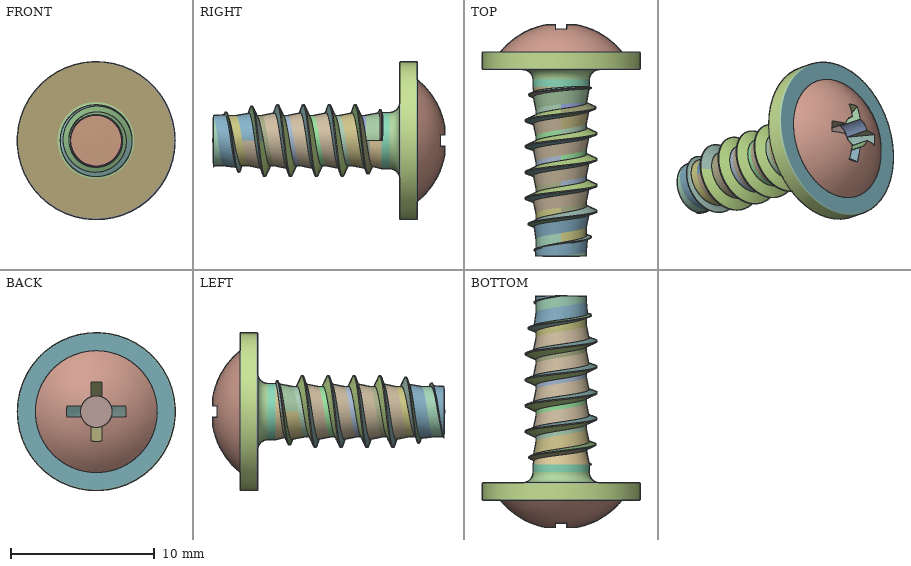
import cadquery as cq
import math


washer_radius = 5.5
washer_thickness = 1.24
washer_edge_fillet = 0.08
dome_radius = 4.24
head_height = 3.25

recess_core_radius = 1.1
recess_wing_radius = 2.08
recess_wing_width = 0.76
recess_mouth_drop = 0.4
recess_floor_drop = 2.1

shank_length = 12.96
neck_radius = 1.97
neck_fillet = 0.7
neck_length = 1.23
neck_taper_length = 0.85
core_radius = 1.76
tip_cone_radius = 1.66
tip_cone_height = 0.04

pitch = 1.8
crest_radius = 2.5
crest_half_width = 0.04
head_flank_foot = 0.38
tip_flank_foot = 0.23
root_radius = 1.94
root_taper_foot = 1.09
foot_sink = 0.02

thread_start_depth = 0.84
start_shift = 0.43
start_shift_turns = 0.5
start_height = 0.45
full_height_from = 1.25
full_height_until = 5.0
fade_turns = 1.85
least_height = 0.1
thread_turns = 7.25
points_per_turn = 24

blank_length = thread_start_depth + pitch * (thread_turns + 1)

profile_plane = cq.Plane(origin=(0, 0, 0), xDir=(0, 0, 1), normal=(-1, 0, 0))


def rise_share(turn):
    """Share of the full crest height reached while the thread grows out of the neck."""
    return min(1, start_height + (1 - start_height) * turn / full_height_from)


def fade_share(turn):
    """Share of the full section left while the thread fades out at the tip."""
    return max(least_height, min(1, 1 - (turn - full_height_until) / fade_turns))


def crest_depth(turn):
    """Depth of the crest: a steady lead, eased in under the neck."""
    squeeze = max(0, 1 - turn / start_shift_turns)
    return thread_start_depth + pitch * turn + start_shift * squeeze ** 3


def thread_profile(turn):
    """(axial offset towards the tip, radius) corners of the thread section."""
    crest_share = rise_share(turn) * fade_share(turn)
    top_radius = core_radius + crest_share * (crest_radius - core_radius)
    shoulder_height = fade_share(turn) * (root_radius - core_radius)
    root_slope = (root_taper_foot - tip_flank_foot) / shoulder_height
    sunk_radius = core_radius - foot_sink
    return [
        (-head_flank_foot * crest_share, sunk_radius),
        (-crest_half_width * crest_share, top_radius),
        (crest_half_width * crest_share, top_radius),
        (tip_flank_foot * crest_share, core_radius + shoulder_height),
        (root_taper_foot + foot_sink * root_slope, sunk_radius),
    ]


def thread_section(turn):
    """Corners of the thread section in space, after the given number of turns from +X."""
    angle = 2 * math.pi * turn
    return [
        cq.Vector(radius * math.cos(angle), -crest_depth(turn) - offset, radius * math.sin(angle))
        for offset, radius in thread_profile(turn)
    ]


def make_thread(first_turn, last_turn):
    """Skin one stretch of the thread with ruled strips between the helical paths of its corners."""
    turns = last_turn - first_turn
    steps = round(turns * points_per_turn)
    sections = [thread_section(first_turn + turns * step / steps) for step in range(steps + 1)]
    paths = [cq.Edge.makeSpline(list(points)) for points in zip(*sections)]
    next_paths = paths[1:] + paths[:1]
    faces = [cq.Face.makeRuledSurface(path, after) for path, after in zip(paths, next_paths)]
    for end in (sections[0], sections[-1]):
        faces.append(cq.Face.makeFromWires(cq.Wire.makePolygon(end, close=True)))
    return cq.Workplane(obj=cq.Solid.makeSolid(cq.Shell.makeShell(faces)))


def make_head():
    washer = cq.Workplane("XZ").circle(washer_radius).extrude(-washer_thickness)
    washer = washer.edges().fillet(washer_edge_fillet)
    dome_height = head_height - washer_thickness
    sphere_radius = (dome_radius ** 2 + dome_height ** 2) / (2 * dome_height)
    sphere_centre = head_height - sphere_radius
    mid_radius = dome_radius / 2
    mid_height = sphere_centre + math.sqrt(sphere_radius ** 2 - mid_radius ** 2)
    dome = (
        cq.Workplane(profile_plane)
        .moveTo(0, washer_thickness / 2)
        .lineTo(dome_radius, washer_thickness / 2)
        .lineTo(dome_radius, washer_thickness)
        .threePointArc((mid_radius, mid_height), (0, head_height))
        .close()
        .revolve(360, (0, 0), (0, 1))
    )
    return washer.union(dome)


def make_recess():
    """Round core with four wings whose ends taper inwards."""
    floor = head_height - recess_floor_drop
    mouth = head_height - recess_mouth_drop
    wing_envelope = (
        cq.Workplane(profile_plane)
        .polyline([
            (0, floor),
            (recess_core_radius, floor),
            (recess_wing_radius, mouth),
            (recess_wing_radius, head_height),
            (0, head_height),
        ])
        .close()
        .revolve(360, (0, 0), (0, 1))
    )
    floor_plane = cq.Workplane("XZ", origin=(0, floor, 0))
    span = 2 * recess_wing_radius
    cross = floor_plane.rect(span, recess_wing_width).extrude(-recess_floor_drop)
    cross = cross.union(floor_plane.rect(recess_wing_width, span).extrude(-recess_floor_drop))
    core = floor_plane.circle(recess_core_radius).extrude(-recess_floor_drop)
    return cross.intersect(wing_envelope).union(core)


def make_blank():
    """Unthreaded shank, left longer than the thread so that both are trimmed together."""
    fillet_middle = neck_fillet * (1 - math.sqrt(0.5))
    return (
        cq.Workplane(profile_plane)
        .moveTo(0, washer_thickness / 2)
        .lineTo(neck_radius + neck_fillet, washer_thickness / 2)
        .lineTo(neck_radius + neck_fillet, 0)
        .threePointArc((neck_radius + fillet_middle, -fillet_middle), (neck_radius, -neck_fillet))
        .lineTo(neck_radius, -neck_length)
        .lineTo(core_radius, -neck_length - neck_taper_length)
        .lineTo(core_radius, -blank_length)
        .lineTo(0, -blank_length)
        .close()
        .revolve(360, (0, 0), (0, 1))
    )


def make_tip_cutter():
    """Everything beyond the tip, whose end face bulges as a very flat cone."""
    return (
        cq.Workplane(profile_plane)
        .moveTo(0, -shank_length - tip_cone_height)
        .lineTo(tip_cone_radius, -shank_length)
        .lineTo(washer_radius, -shank_length)
        .lineTo(washer_radius, -blank_length - pitch)
        .lineTo(0, -blank_length - pitch)
        .close()
        .revolve(360, (0, 0), (0, 1))
    )


def make_shank():
    shank = make_blank()
    turn_stops = [0, start_shift_turns, full_height_from, full_height_until, thread_turns]
    for first_turn, last_turn in zip(turn_stops, turn_stops[1:]):
        shank = shank.union(make_thread(first_turn, last_turn))
    return shank.cut(make_tip_cutter())


result = make_head().union(make_shank()).cut(make_recess())